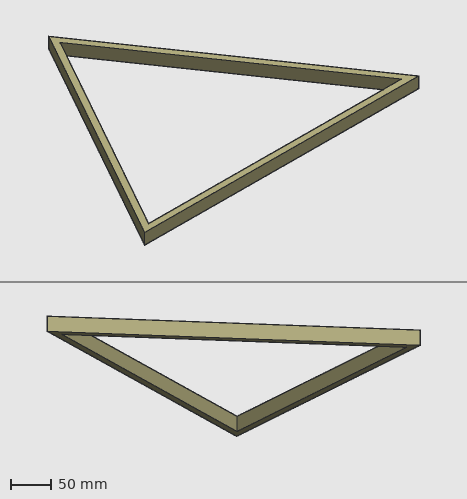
import cadquery as cq
import math

base = 416.0
depth = 416.0
height = 20.0
wall = 10.0

base_angle = math.atan2(depth, base / 2)
corner_inset = wall / math.tan(base_angle / 2)
apex_inset = wall / math.cos(base_angle)


def triangular_prism(half_base, front_y, apex_y):
    """Isosceles prism, symmetric about X = 0, standing on Z = 0."""
    corners = [(-half_base, front_y), (half_base, front_y), (0, apex_y)]
    return cq.Workplane("XY").polyline(corners).close().extrude(height)


outer = triangular_prism(base / 2, 0, depth)
opening = triangular_prism(base / 2 - corner_inset, wall, depth - apex_inset)

result = outer.cut(opening)